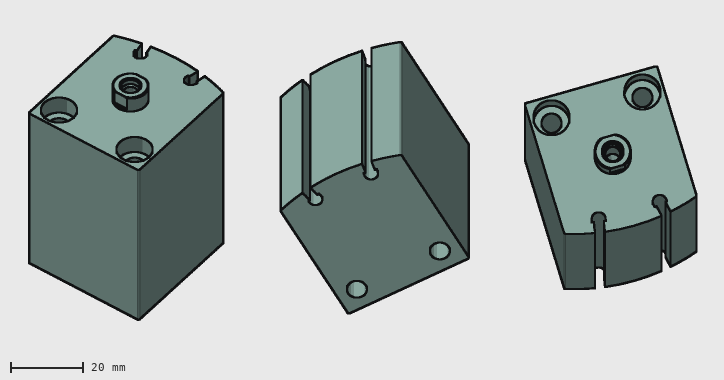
import cadquery as cq
import math

total_height = 62.0
housing_height = 56.85
housing_width = 38.0
front_y = -21.4
back_y = 20.6
back_corner_y = 17.35
corner_radius = 0.5

slot_x = 8.75
slot_y = 16.0
slot_groove_diameter = 3.85
slot_neck_width = 2.7
slot_shoulder_offset = 0.75
slot_neck_length = 7.45
slot_tilt = 11.0

mount_x = 13.0
mount_y = -15.4
mount_hole_diameter = 5.5
mount_bore_diameter = 10.0
mount_bore_depth = 5.7

rod_diameter = 10.0
rod_insertion = 10.0
rod_chamfer = 0.25
flat_spacing = 9.0
flat_clearance = 0.85
thread_core_diameter = 4.15
thread_core_depth = 9.9
thread_relief_diameter = 5.3
thread_relief_depth = 2.0
thread_mouth_diameter = 6.0
drill_point_angle = 118.0

half_width = housing_width / 2
rod_base_z = housing_height - rod_insertion
rod_height = total_height - rod_base_z
flat_base_z = housing_height + flat_clearance


def make_slot(side):
    """Necked round-bottom slot, running the full height; side is -1 (left) or +1 (right)."""
    radius = slot_groove_diameter / 2
    half_neck = slot_neck_width / 2
    slot = (
        cq.Workplane("XY")
        .moveTo(-radius, 0)
        .threePointArc((0, -radius), (radius, 0))
        .lineTo(radius, slot_shoulder_offset)
        .lineTo(half_neck, slot_shoulder_offset)
        .lineTo(half_neck, slot_neck_length)
        .lineTo(-half_neck, slot_neck_length)
        .lineTo(-half_neck, slot_shoulder_offset)
        .lineTo(-radius, slot_shoulder_offset)
        .close()
        .extrude(housing_height)
    )
    return slot.rotate((0, 0, 0), (0, 0, 1), -side * slot_tilt).translate((side * slot_x, slot_y, 0))


def make_housing():
    """Block with a crowned back, sensor slots, mounting holes and a seat for the rod."""
    housing = (
        cq.Workplane("XY")
        .moveTo(-half_width, front_y)
        .lineTo(half_width, front_y)
        .lineTo(half_width, back_corner_y)
        .threePointArc((0, back_y), (-half_width, back_corner_y))
        .close()
        .extrude(housing_height)
        .edges("|Z")
        .fillet(corner_radius)
    )
    for side in (-1, 1):
        housing = housing.cut(make_slot(side))
    housing = (
        housing.faces(">Z")
        .workplane(origin=(0, 0, housing_height))
        .pushPoints([(-mount_x, mount_y), (mount_x, mount_y)])
        .cboreHole(mount_hole_diameter, mount_bore_diameter, mount_bore_depth)
    )
    rod_seat = cq.Workplane("XY", origin=(0, 0, rod_base_z)).circle(rod_diameter / 2).extrude(rod_insertion)
    return housing.cut(rod_seat)


def make_threaded_hole():
    """Volume of the stepped, conically ended hole in the rod's top."""
    core_radius = thread_core_diameter / 2
    relief_radius = thread_relief_diameter / 2
    mouth_radius = thread_mouth_diameter / 2
    core_z = total_height - thread_core_depth
    relief_z = total_height - thread_relief_depth
    relief_end_z = relief_z - (relief_radius - core_radius)
    mouth_z = total_height - (mouth_radius - relief_radius)
    tip_z = core_z - core_radius / math.tan(math.radians(drill_point_angle / 2))
    return (
        cq.Workplane("XZ")
        .moveTo(0, tip_z)
        .lineTo(core_radius, core_z)
        .lineTo(core_radius, relief_end_z)
        .lineTo(relief_radius, relief_z)
        .lineTo(relief_radius, mouth_z)
        .lineTo(mouth_radius, total_height)
        .lineTo(0, total_height)
        .close()
        .revolve(360, (0, 0, 0), (0, 1, 0))
    )


def make_rod():
    """Round rod with a chamfered top, two wrench flats and a threaded hole."""
    rod = (
        cq.Workplane("XY", origin=(0, 0, rod_base_z))
        .circle(rod_diameter / 2)
        .extrude(rod_height)
        .faces(">Z")
        .chamfer(rod_chamfer)
    )
    for side in (-1, 1):
        flat = (
            cq.Workplane("XY", origin=(0, side * (flat_spacing + rod_diameter) / 2, flat_base_z))
            .rect(rod_diameter, rod_diameter)
            .extrude(total_height - flat_base_z)
        )
        rod = rod.cut(flat)
    return rod.cut(make_threaded_hole())


housing = make_housing()
rod = make_rod()

result = cq.Compound.makeCompound([housing.val(), rod.val()])